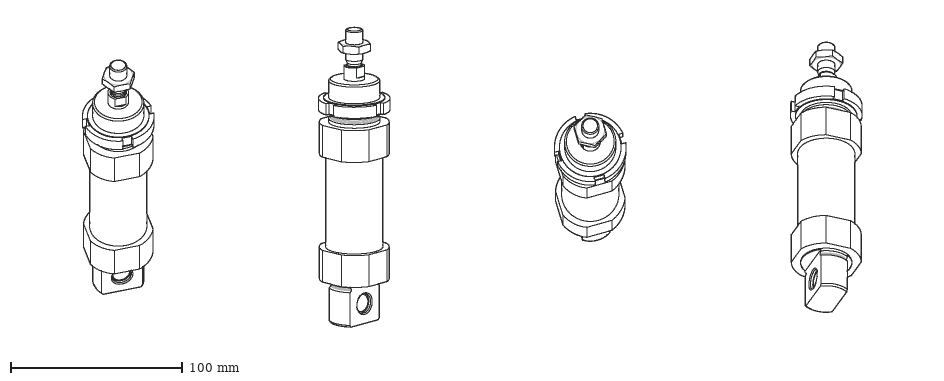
import cadquery as cq
import math

TOTAL_LENGTH = 176.5

ROD_DIAMETER = 12.0
ROD_THREAD_DIAMETER = 10.0
ROD_NECK_DIAMETER = 8.5
ROD_TIP_DIAMETER = 8.5
ROD_TIP_CHAMFER_HEIGHT = 0.7
ROD_THREAD_LENGTH = 18.2
ROD_NECK_TAPER = 2.1
ROD_NECK_LENGTH = 1.2
ROD_NECK_FLARE = 0.5
ROD_FLATS_WIDTH = 10.0
ROD_FLATS_LENGTH = 6.0

ROD_NUT_ACROSS_FLATS = 17.0
ROD_NUT_HEIGHT = 5.0
ROD_NUT_DROP = 8.1
ROD_NUT_CHAMFER_HEIGHT = 0.45
ROD_NUT_CHAMFER_WIDTH = 1.5

THREAD_DIAMETER = 30.0
GROOVE_DIAMETER = 27.7
GROOVE_FILLET = 0.5
COLLAR_DIAMETER = 41.0
COLLAR_ACROSS_FLATS = 38.0
COLLAR_LENGTH = 19.2
TUBE_DIAMETER = 33.5
REAR_COLLAR_BOTTOM = 25.8
FRONT_COLLAR_BOTTOM = 101.3
FRONT_NECK_LENGTH = 26.0
FRONT_CHAMFER = 1.0
CLEVIS_END_DIAMETER = 28.5
CLEVIS_CHAMFER_HEIGHT = 1.2
FRONT_GROOVE_HEIGHT_ABOVE_COLLAR = 2.1
FRONT_GROOVE_LENGTH = 3.2
FRONT_GROOVE_LOWER_TAPER = 0.7
FRONT_GROOVE_UPPER_TAPER = 1.2

CLEVIS_THICKNESS = 16.6
CLEVIS_HEIGHT = 25.0
CLEVIS_GROOVE_TOP = 24.0
CLEVIS_GROOVE_BOTTOM = 21.0
CLEVIS_HOLE_DIAMETER = 10.0
CLEVIS_HOLE_RECESS_DIAMETER = 11.6
CLEVIS_HOLE_RECESS_DEPTH = 2.1
CLEVIS_HOLE_RIM_DIAMETER = 13.0
CLEVIS_HOLE_HEIGHT = 12.0

RING_DIAMETER = 42.0
RING_FACE_DIAMETER = 36.0
RING_HEIGHT = 8.0
RING_FACE_STEP = 0.5
RING_TOP_DROP = 11.1
RING_SLOT_WIDTH = 6.0
RING_SLOT_DEPTH = 2.6
RING_SLOT_COUNT = 4

FRONT_COLLAR_TOP = FRONT_COLLAR_BOTTOM + COLLAR_LENGTH
REAR_COLLAR_TOP = REAR_COLLAR_BOTTOM + COLLAR_LENGTH
FRONT_FACE = FRONT_COLLAR_TOP + FRONT_NECK_LENGTH
ROD_THREAD_END = TOTAL_LENGTH - ROD_THREAD_LENGTH
ROD_NECK_TOP = ROD_THREAD_END - ROD_NECK_TAPER
ROD_NECK_BOTTOM = ROD_NECK_TOP - ROD_NECK_LENGTH
ROD_SHOULDER = ROD_NECK_BOTTOM - ROD_NECK_FLARE
ROD_NUT_BOTTOM = TOTAL_LENGTH - ROD_NUT_DROP - ROD_NUT_HEIGHT
RING_BOTTOM = FRONT_FACE - RING_TOP_DROP - RING_HEIGHT


def cylinder(diameter, bottom, top):
    """Solid cylinder on the Z axis between two levels."""
    return cq.Workplane("XY").workplane(offset=bottom).circle(diameter / 2).extrude(top - bottom)


def turned(diameters_and_levels):
    """Solid of revolution about Z through the given (diameter, level) points, closed on the axis."""
    first_level = diameters_and_levels[0][1]
    last_level = diameters_and_levels[-1][1]
    outline = [(0, first_level)]
    outline += [(diameter / 2, level) for diameter, level in diameters_and_levels]
    outline += [(0, last_level)]
    return cq.Workplane("XZ").polyline(outline).close().revolve(360, (0, 0), (0, 1))


def slab(size_x, size_y, bottom, top):
    """Box centred on the Z axis between two levels."""
    return (
        cq.Workplane("XY").workplane(offset=bottom)
        .rect(size_x, size_y).extrude(top - bottom)
    )


def collar(bottom):
    """Round collar with four flats."""
    top = bottom + COLLAR_LENGTH
    return cylinder(COLLAR_DIAMETER, bottom, top).intersect(
        slab(COLLAR_ACROSS_FLATS, COLLAR_ACROSS_FLATS, bottom, top)
    )


def fillet_groove_floor(body, bottom, top):
    """Round the two corners at the floor of a turned groove that lies between two levels."""
    margin = 0.2
    between_rims = cq.selectors.BoxSelector(
        (-margin, -margin, bottom + margin), (margin, margin, top - margin)
    )
    return body.edges("%CIRCLE").edges(between_rims).fillet(GROOVE_FILLET)


def front_neck():
    """Threaded neck with a chamfered front edge and a run-out groove near the collar."""
    groove_bottom = FRONT_COLLAR_TOP + FRONT_GROOVE_HEIGHT_ABOVE_COLLAR
    groove_top = groove_bottom + FRONT_GROOVE_LENGTH
    neck = turned([
        (THREAD_DIAMETER, FRONT_COLLAR_TOP),
        (THREAD_DIAMETER, groove_bottom),
        (GROOVE_DIAMETER, groove_bottom + FRONT_GROOVE_LOWER_TAPER),
        (GROOVE_DIAMETER, groove_top - FRONT_GROOVE_UPPER_TAPER),
        (THREAD_DIAMETER, groove_top),
        (THREAD_DIAMETER, FRONT_FACE - FRONT_CHAMFER),
        (THREAD_DIAMETER - 2 * FRONT_CHAMFER, FRONT_FACE),
    ])
    return fillet_groove_floor(neck, groove_bottom, groove_top)


def clevis():
    """Flat-sided tongue with a turned groove, a chamfered end and a recessed cross hole along X."""
    groove_depth = (THREAD_DIAMETER - GROOVE_DIAMETER) / 2
    round_bar = turned([
        (CLEVIS_END_DIAMETER, 0),
        (THREAD_DIAMETER, CLEVIS_CHAMFER_HEIGHT),
        (THREAD_DIAMETER, CLEVIS_GROOVE_BOTTOM),
        (GROOVE_DIAMETER, CLEVIS_GROOVE_BOTTOM + groove_depth),
        (GROOVE_DIAMETER, CLEVIS_GROOVE_TOP - groove_depth),
        (THREAD_DIAMETER, CLEVIS_GROOVE_TOP),
        (THREAD_DIAMETER, REAR_COLLAR_BOTTOM),
    ])
    round_bar = fillet_groove_floor(round_bar, CLEVIS_GROOVE_BOTTOM, CLEVIS_GROOVE_TOP)
    flats = slab(CLEVIS_THICKNESS, THREAD_DIAMETER, 0, CLEVIS_HEIGHT)
    flats = flats.cut(clevis_hole())
    base = slab(THREAD_DIAMETER, THREAD_DIAMETER, CLEVIS_HEIGHT, REAR_COLLAR_BOTTOM)
    return round_bar.intersect(flats.union(base))


def clevis_hole():
    """Cutter for the cross hole, with a chamfered shallow recess on both faces."""
    face = CLEVIS_THICKNESS / 2
    rim_radius = CLEVIS_HOLE_RIM_DIAMETER / 2
    recess_radius = CLEVIS_HOLE_RECESS_DIAMETER / 2
    bore_radius = CLEVIS_HOLE_DIAMETER / 2
    chamfer_floor = face - (rim_radius - recess_radius)
    recess_floor = face - CLEVIS_HOLE_RECESS_DEPTH
    half = (
        cq.Workplane("XZ")
        .polyline([
            (0, 0),
            (0, bore_radius),
            (recess_floor, bore_radius),
            (recess_floor, recess_radius),
            (chamfer_floor, recess_radius),
            (face, rim_radius),
            (face, 0),
        ])
        .close()
        .revolve(360, (0, 0), (1, 0))
    )
    return half.union(half.mirror("YZ")).translate((0, 0, CLEVIS_HOLE_HEIGHT))


def make_housing():
    """Cylinder body, bored through the front neck and collar for the rod."""
    tube = cylinder(TUBE_DIAMETER, REAR_COLLAR_TOP, FRONT_COLLAR_BOTTOM)
    body = tube.union(front_neck()).union(clevis())
    for bottom in (REAR_COLLAR_BOTTOM, FRONT_COLLAR_BOTTOM):
        body = body.union(collar(bottom))
    return body.cut(cylinder(ROD_DIAMETER, FRONT_COLLAR_BOTTOM, FRONT_FACE))


def make_rod():
    """Rod with a threaded tip, a neck behind the thread and two spanner flats."""
    rod = turned([
        (ROD_DIAMETER, FRONT_COLLAR_BOTTOM),
        (ROD_DIAMETER, ROD_SHOULDER),
        (ROD_NECK_DIAMETER + 2 * ROD_NECK_FLARE, ROD_SHOULDER),
        (ROD_NECK_DIAMETER, ROD_NECK_BOTTOM),
        (ROD_NECK_DIAMETER, ROD_NECK_TOP),
        (ROD_THREAD_DIAMETER, ROD_THREAD_END),
        (ROD_THREAD_DIAMETER, TOTAL_LENGTH - ROD_TIP_CHAMFER_HEIGHT),
        (ROD_TIP_DIAMETER, TOTAL_LENGTH),
    ])
    flats_bottom = ROD_SHOULDER - ROD_FLATS_LENGTH
    around_flats = slab(ROD_DIAMETER, ROD_DIAMETER, flats_bottom, ROD_SHOULDER)
    between_flats = slab(ROD_FLATS_WIDTH, ROD_DIAMETER, flats_bottom, ROD_SHOULDER)
    return rod.cut(around_flats.cut(between_flats))


def make_rod_nut():
    """Hexagon nut with a corner on the Y axis and its corners turned off at both faces."""
    across_corners = ROD_NUT_ACROSS_FLATS / math.cos(math.pi / 6)
    top = ROD_NUT_BOTTOM + ROD_NUT_HEIGHT
    hexagon = (
        cq.Workplane("XY").workplane(offset=ROD_NUT_BOTTOM)
        .polygon(6, across_corners).extrude(ROD_NUT_HEIGHT)
        .rotate((0, 0, 0), (0, 0, 1), 90)
    )
    face_diameter = across_corners - 2 * ROD_NUT_CHAMFER_WIDTH
    envelope = turned([
        (face_diameter, ROD_NUT_BOTTOM),
        (across_corners, ROD_NUT_BOTTOM + ROD_NUT_CHAMFER_HEIGHT),
        (across_corners, top - ROD_NUT_CHAMFER_HEIGHT),
        (face_diameter, top),
    ])
    return hexagon.intersect(envelope).cut(cylinder(ROD_THREAD_DIAMETER, ROD_NUT_BOTTOM, top))


def make_ring_nut():
    """Round nut with raised faces and spanner slots around its rim."""
    top = RING_BOTTOM + RING_HEIGHT
    ring = cylinder(RING_DIAMETER, RING_BOTTOM + RING_FACE_STEP, top - RING_FACE_STEP)
    ring = ring.union(cylinder(RING_FACE_DIAMETER, RING_BOTTOM, top))
    slot_centre = (RING_DIAMETER - RING_SLOT_DEPTH) / 2
    slot = slab(RING_SLOT_DEPTH, RING_SLOT_WIDTH, RING_BOTTOM, top).translate((slot_centre, 0, 0))
    for index in range(RING_SLOT_COUNT):
        ring = ring.cut(slot.rotate((0, 0, 0), (0, 0, 1), index * 360 / RING_SLOT_COUNT))
    return ring.cut(cylinder(THREAD_DIAMETER, RING_BOTTOM, top))


housing = make_housing()
rod = make_rod()
rod_nut = make_rod_nut()
ring_nut = make_ring_nut()

result = cq.Compound.makeCompound([housing.val(), rod.val(), rod_nut.val(), ring_nut.val()])